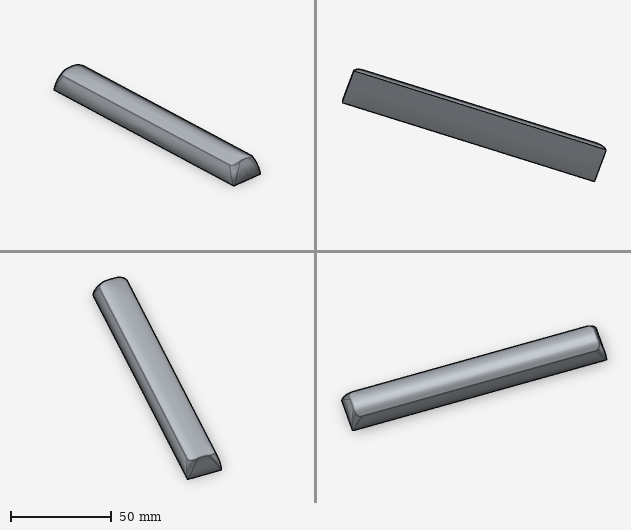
import cadquery as cq
import math

length = 132.5
width = 18.3
height = 10.9

wall_radius = 23.8

base_corner_radius = 0.5
corner_growth = 0.32

crown_radius = 17.0
crown_edge_fillet = 0.4

loft_height = height + 1.3
loft_steps = 4


def wall_inset(z):
    """Distance the curved wall has moved inward at height z."""
    return wall_radius - math.sqrt(wall_radius**2 - z**2)


def section(z):
    """Rounded rectangle bounding the walls at height z."""
    inset = wall_inset(z)
    corner_radius = base_corner_radius + corner_growth * z
    return (
        cq.Sketch()
        .rect(length - 2 * inset, width - 2 * inset)
        .vertices()
        .fillet(corner_radius)
        .moved(cq.Location(cq.Vector(0, 0, z)))
    )


def tapered_body():
    levels = [loft_height * step / loft_steps for step in range(loft_steps + 1)]
    sections = [section(z) for z in levels]
    return cq.Workplane("XY").placeSketch(*sections).loft()


def crown_envelope():
    """Cylinder along X whose highest line lies at the full height."""
    return (
        cq.Workplane("YZ")
        .center(0, height - crown_radius)
        .circle(crown_radius)
        .extrude(length / 2, both=True)
    )


body = tapered_body().intersect(crown_envelope())

crown_face = body.faces(">Z")
result = crown_face.edges().fillet(crown_edge_fillet)